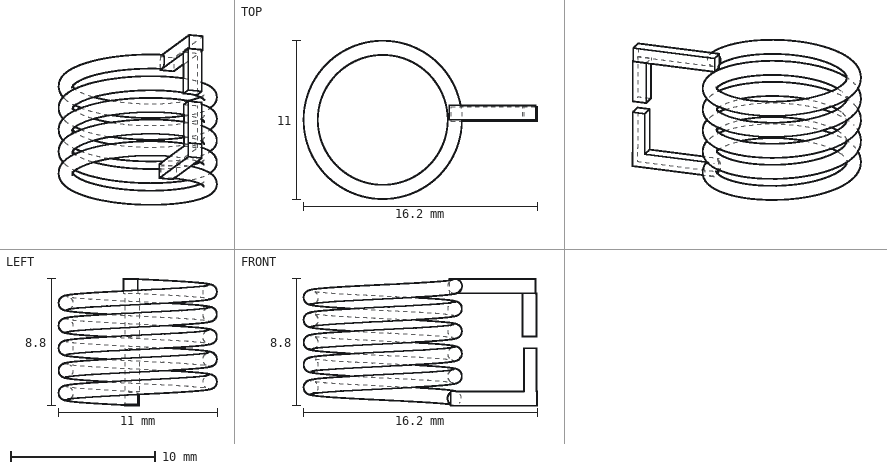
import cadquery as cq

WIRE_DIAMETER = 1.0
COIL_RADIUS = 5.0
PITCH = 1.56
TURNS = 5
COIL_HEIGHT = PITCH * TURNS

LEAD_SIZE = 1.0
ARM_LENGTH = 6.0
POST_LENGTH = 3.0

LOWER_ARM_X = 4.7
LOWER_ARM_Y = -0.1
UPPER_ARM_X = 4.6
UPPER_ARM_Y = 0.0

POST_OUTER_X = 10.68
POST_Y = -0.1
LOWER_POST_WIDTH = 0.9
UPPER_POST_WIDTH = 1.0

LOWER_ARM_TOP = LEAD_SIZE / 2
UPPER_ARM_BOTTOM = COIL_HEIGHT - LEAD_SIZE / 2


def box_at(corner, size):
    """Box with its minimum corner at the given point."""
    return cq.Workplane("XY").box(*size, centered=False).translate(corner)


def make_coil():
    """Round wire swept along the helix, with its end faces square to Y."""
    path = cq.Workplane(cq.Wire.makeHelix(PITCH, COIL_HEIGHT, COIL_RADIUS))
    section = cq.Workplane("XZ").center(COIL_RADIUS, 0).circle(WIRE_DIAMETER / 2)
    return section.sweep(path, isFrenet=True)


def make_arm(x, y, z):
    """Horizontal square bar running outwards along X."""
    return box_at((x, y, z), (ARM_LENGTH, LEAD_SIZE, LEAD_SIZE))


def make_post(width, z):
    """Vertical bar of the given width along X, standing up from z."""
    return box_at((POST_OUTER_X - width, POST_Y, z), (width, LEAD_SIZE, POST_LENGTH))


lower_arm = make_arm(LOWER_ARM_X, LOWER_ARM_Y, LOWER_ARM_TOP - LEAD_SIZE)
lower_lead = lower_arm.union(make_post(LOWER_POST_WIDTH, LOWER_ARM_TOP))

upper_arm = make_arm(UPPER_ARM_X, UPPER_ARM_Y, UPPER_ARM_BOTTOM)
upper_lead = upper_arm.union(make_post(UPPER_POST_WIDTH, UPPER_ARM_BOTTOM - POST_LENGTH))

result = make_coil().union(lower_lead).union(upper_lead)